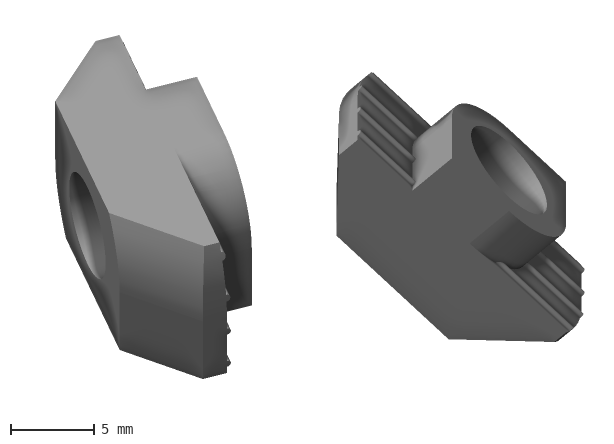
import cadquery as cq
import math

length = 19.6
depth = 8.7
height = 10.0

flange_depth = 5.45
chamfer = 3.92
neck_width = height
neck_corner_radius = height / 2
end_radius = length / 2
hole_diameter = 6.65

ridge_radius = 0.25
ridge_count = 4
ridge_pitch = 2.8

half_length = length / 2
half_height = height / 2
shoulder_y = flange_depth


def half_turn(shape):
    """The same shape turned 180 degrees about the hole axis."""
    return shape.rotate((0, 0, 0), (0, 1, 0), 180)


def make_flange():
    outline = [
        (-half_length, shoulder_y),
        (-half_length, chamfer),
        (-half_length + chamfer, 0),
        (half_length - chamfer, 0),
        (half_length, chamfer),
        (half_length, shoulder_y),
    ]
    return cq.Workplane("XY").polyline(outline).close().extrude(half_height, both=True)


def make_ridges():
    first_z = -ridge_pitch * (ridge_count - 1) / 2
    positions = [(shoulder_y, first_z + i * ridge_pitch) for i in range(ridge_count)]
    return (
        cq.Workplane("YZ")
        .pushPoints(positions)
        .circle(ridge_radius)
        .extrude(half_length, both=True)
    )


def make_end_trim(outward, along):
    """Waste outside an arc that is tangent to an end face at mid height.

    outward is the normal of the end face and along is its direction in the XY plane.
    """
    drop = end_radius - math.sqrt(end_radius**2 - half_height**2)
    half_angle = math.asin(half_height / end_radius) / 2
    arc_middle = (end_radius * (math.cos(half_angle) - 1), end_radius * math.sin(half_angle))
    plane = cq.Plane(origin=(half_length, chamfer, 0), xDir=outward, normal=along)
    return (
        cq.Workplane(plane)
        .moveTo(0, 0)
        .threePointArc(arc_middle, (-drop, half_height))
        .lineTo(0, half_height)
        .close()
        .extrude(depth, both=True)
    )


def make_neck():
    """Square neck behind the shoulder with two opposite corners rounded."""
    neck = (
        cq.Workplane("XY")
        .box(neck_width, depth - shoulder_y, height, centered=(True, False, True))
        .translate((0, shoulder_y, 0))
    )
    for corner in (">X and >Z", "<X and <Z"):
        neck = neck.edges("|Y").edges(corner).fillet(neck_corner_radius)
    return neck


side_trim = make_end_trim(outward=(1, 0, 0), along=(0, -1, 0))
slope_trim = make_end_trim(outward=(1, -1, 0), along=(-1, -1, 0))

result = make_flange().union(make_ridges())
for trim in (side_trim, slope_trim):
    result = result.cut(trim).cut(half_turn(trim))

result = result.union(make_neck())

hole = cq.Workplane("XZ").circle(hole_diameter / 2).extrude(-depth)
result = result.cut(hole)